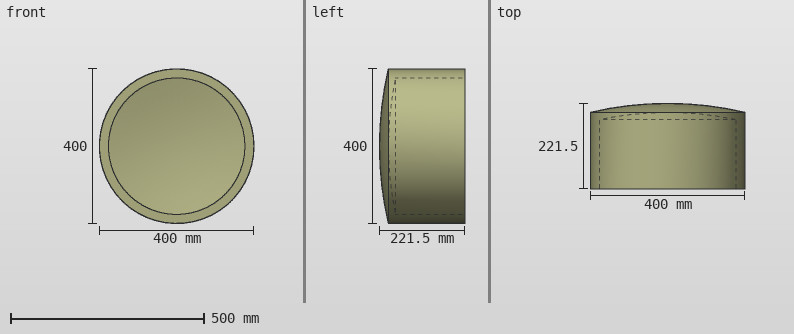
import cadquery as cq

outer_radius = 200.0
wall = 23.5
total_length = 221.5
dome_height = 23.0

inner_radius = outer_radius - wall

dome_radius = (outer_radius**2 + dome_height**2) / (2 * dome_height)
dome_center_y = total_length - dome_radius
inner_dome_radius = dome_radius - wall


def domed_cylinder(radius, sphere_radius):
    """Solid of revolution about Y from y = 0, ending in a spherical cap."""

    def cap_y(distance):
        return dome_center_y + (sphere_radius**2 - distance**2) ** 0.5

    return (
        cq.Workplane("XY")
        .lineTo(radius, 0)
        .lineTo(radius, cap_y(radius))
        .threePointArc((radius / 2, cap_y(radius / 2)), (0, cap_y(0)))
        .close()
        .revolve(360, (0, 0, 0), (0, 1, 0))
    )


body = domed_cylinder(outer_radius, dome_radius)
cavity = domed_cylinder(inner_radius, inner_dome_radius)
result = body.cut(cavity)